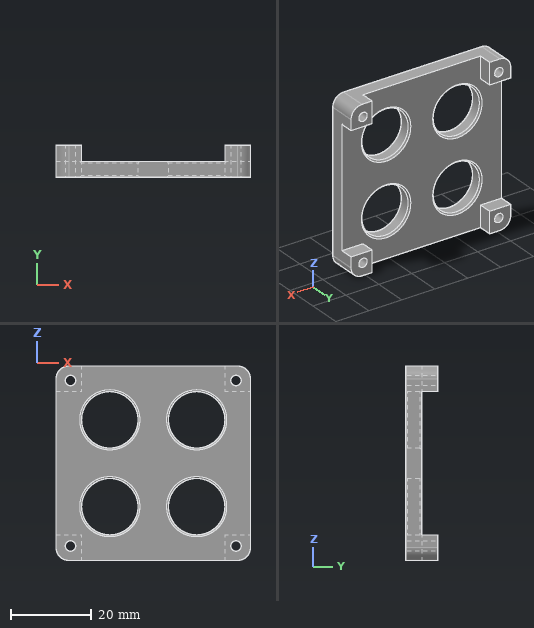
import cadquery as cq

side = 48.5
depth = 8.0
plate_thickness = depth / 2
corner_radius = 3.3

foot_size = 6.4

screw_diameter = 2.5
screw_spacing = 41.22

opening_diameter = 14.0
opening_spacing = 21.65
opening_chamfer = 0.5

front_y = -depth / 2
back_y = depth / 2
plate_back_y = front_y + plate_thickness


def square_grid(spacing):
    """Four (x, z) points at the corners of a centred square."""
    half = spacing / 2
    return [(x, z) for x in (-half, half) for z in (-half, half)]


def cylinder_y(diameter, x, z):
    """Cylinder along Y through the full depth."""
    return cq.Workplane("XY").add(
        cq.Solid.makeCylinder(diameter / 2, depth, cq.Vector(x, front_y, z), cq.Vector(0, 1, 0))
    )


def chamfer_cone(x, z, face_y, inward):
    """Cone that breaks an opening's edge at face_y; inward is +1 or -1 along Y."""
    inner_radius = opening_diameter / 2
    outer_radius = inner_radius + opening_chamfer
    base = cq.Vector(x, face_y, z)
    axis = cq.Vector(0, inward, 0)
    return cq.Workplane("XY").add(cq.Solid.makeCone(outer_radius, inner_radius, opening_chamfer, base, axis))


body = cq.Workplane("XY").box(side, depth, side).edges("|Y").fillet(corner_radius)

gap = side - 2 * foot_size
recess_depth = depth - plate_thickness
recess_y = back_y - recess_depth / 2
for width, height in ((gap, side), (side, gap)):
    recess = cq.Workplane("XY").box(width, recess_depth, height).translate((0, recess_y, 0))
    body = body.cut(recess)

for x, z in square_grid(screw_spacing):
    body = body.cut(cylinder_y(screw_diameter, x, z))

for x, z in square_grid(opening_spacing):
    body = body.cut(cylinder_y(opening_diameter, x, z))
    body = body.cut(chamfer_cone(x, z, front_y, 1))
    body = body.cut(chamfer_cone(x, z, plate_back_y, -1))

result = body